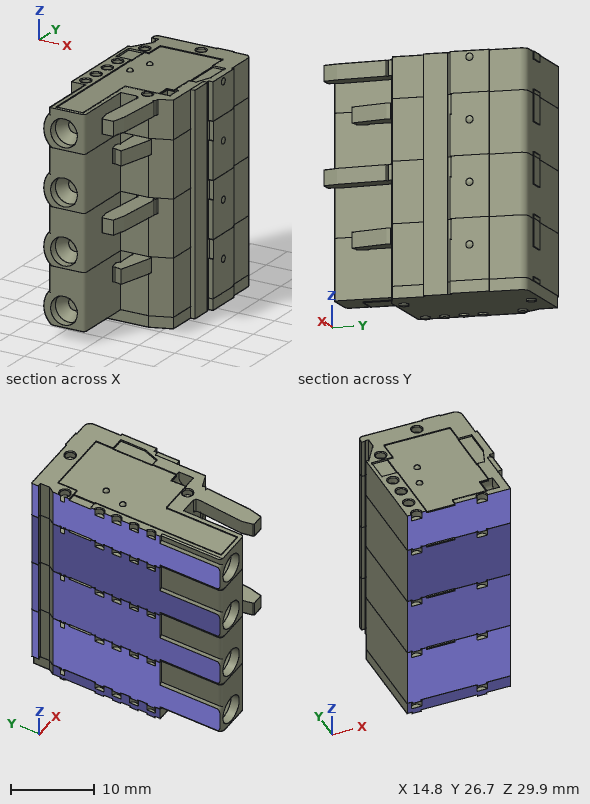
import cadquery as cq
import math

peg_height = 0.2
end_plate_thickness = 1.5
pitch = 7.63
top_housing_height = 5.1
pole_count = 4

back_y = 26.55
front_y = 8.45
notch_x = 2.0
shoulder_x, shoulder_low_y, shoulder_high_y = 0.4, 21.83, 24.32
corner_start_x, corner_end_y = 13.55, 25.6
side_x = 14.35
step_x, step_low_y, step_high_y = 14.63, 17.02, 21.92
ledge_x = 14.03
relief_depth = 0.15
foot_x, foot_y = 13.55, 9.5
slope_end_x = 10.75

lip_x, lip_low_y, lip_radius = 1.08, 25.5, 0.57
lip_hook_x, lip_hook_y = 1.55, 25.6

tab_left, tab_right, tab_depth = 9.48, 11.85, 0.15
tab_drop = 3.45
tab_rise = 0.5

leg_left, leg_right = 1.75, 6.85
leg_round = 0.45
leg_edge_radius = 0.4
leg_top_bevel_x, leg_top_bevel_z = 0.25, 0.12
entry_x, entry_z = 3.95, 2.18
boss_radius, boss_round = 3.02, 0.48
entry_diameter, entry_floor_diameter = 3.7, 1.8
entry_bore_depth, entry_cone_depth = 1.15, 1.5

insert_left, insert_right = 2.55, 11.93
insert_back, insert_shoulder_y, insert_shoulder_x = 23.9, 21.25, 3.25
insert_low_y, insert_leg_x, insert_front = 10.53, 6.25, 0.55
insert_sink, insert_thickness = 0.12, 0.15
recess_depth = 0.25
left_recess_x, left_recess_low_y = 0.45, 18.22
right_recess_x, right_recess_high_y, right_recess_bend_y = 13.7, 21.5, 18.1
right_recess_low_x, right_recess_low_y = 12.92, 15.95
dot_places = [(5.1, 18.28), (4.1, 15.3)]
dot_diameter, dot_height = 0.8, 0.33

window_left, pocket_left, pocket_right = 10.8, 10.92, 12.45
pocket_length = 2.03
window_length = 2.12
pocket_wall_depth = 0.9

peg_places = [
    (8.17, 25.2), (2.1, 22.22), (1.38, 17.02), (1.38, 14.63), (1.25, 12.15), (1.25, 9.75), (9.85, 9.75),
]
peg_diameter, socket_diameter, socket_depth = 1.2, 1.25, 0.9
socket_rim_diameter = 1.5

side_dot_y, side_dot_drop = 19.47, 0.78
side_dot_diameter, side_dot_height = 0.9, 0.12
arm_thickness = 1.95
bar_width, bar_low_y, bar_high_y = 0.6, 13.55, 16.57
tongue_left, tongue_right, tongue_front, tongue_thickness = 2.33, 5.32, 3.2, 0.12


def prism(sketch, low, high):
    """Extrude a closed XY outline between two heights."""
    return sketch.extrude(high - low).translate((0, 0, low))


def block(x0, x1, y0, y1, z0, z1):
    return cq.Workplane("XY").box(x1 - x0, y1 - y0, z1 - z0, centered=False).translate((x0, y0, z0))


def dome(diameter, height):
    """A spherical cap standing on Z = 0."""
    base = diameter / 2
    radius = (base**2 + height**2) / (2 * height)
    ball = cq.Workplane("XY").sphere(radius).translate((0, 0, height - radius))
    return ball.intersect(cq.Workplane("XY").circle(2 * base).extrude(height))


def base_outline():
    """Outline shared by the housings and the end plate."""
    corner_dx, corner_dy = side_x - corner_start_x, back_y - corner_end_y
    corner_mid = (
        corner_start_x + corner_dx * math.sin(math.pi / 4),
        corner_end_y + corner_dy * math.sin(math.pi / 4),
    )
    return (
        cq.Workplane("XY")
        .moveTo(0, front_y)
        .lineTo(0, shoulder_low_y)
        .lineTo(shoulder_x, shoulder_low_y)
        .lineTo(notch_x, shoulder_high_y)
        .lineTo(notch_x, back_y)
        .lineTo(corner_start_x, back_y)
        .threePointArc(corner_mid, (side_x, corner_end_y))
        .lineTo(side_x, step_high_y)
        .lineTo(step_x, step_high_y)
        .lineTo(step_x, step_low_y)
        .lineTo(ledge_x, step_low_y)
        .lineTo(ledge_x, bar_high_y)
        .lineTo(foot_x, bar_high_y)
        .lineTo(foot_x, foot_y)
        .lineTo(slope_end_x, front_y)
        .close()
    )


def pegs(bottom):
    return (
        cq.Workplane("XY").workplane(offset=bottom - peg_height)
        .pushPoints(peg_places).circle(peg_diameter / 2).extrude(peg_height)
    )


def sockets(top):
    holes = (
        cq.Workplane("XY").workplane(offset=top - socket_depth)
        .pushPoints(peg_places).circle(socket_diameter / 2).extrude(socket_depth)
    )
    bevel_depth = (socket_rim_diameter - socket_diameter) / 2
    rims = (
        cq.Workplane("XY").workplane(offset=top)
        .pushPoints(peg_places).circle(socket_rim_diameter / 2).extrude(-bevel_depth, taper=45)
    )
    return holes.union(rims)


def lip(bottom, top):
    outline = (
        cq.Workplane("XY")
        .moveTo(notch_x, lip_hook_y)
        .lineTo(lip_hook_x, lip_hook_y)
        .lineTo(lip_hook_x, lip_low_y)
        .lineTo(lip_x, lip_low_y)
        .lineTo(lip_x, back_y - lip_radius)
        .radiusArc((lip_x + lip_radius, back_y), lip_radius)
        .lineTo(notch_x, back_y)
        .close()
    )
    return prism(outline, bottom, top)


def marker_tabs(bottom, top):
    """Rear tab pieces next to the housing's lower and upper joints."""
    lower = block(tab_left, tab_right, back_y, back_y + tab_depth, bottom, bottom + tab_rise)
    tab_low = bottom + pitch - tab_drop
    upper = block(tab_left, tab_right, back_y, back_y + tab_depth, tab_low, top)
    return lower.union(upper)


def plug_leg(bottom, top):
    """Upright leg; the wire-entry boss takes the place of its lower -X part."""
    outline = (
        cq.Workplane("XY")
        .moveTo(leg_left, front_y)
        .lineTo(leg_left, leg_round)
        .radiusArc((leg_left + leg_round, 0), -leg_round)
        .lineTo(leg_right - leg_edge_radius, 0)
        .radiusArc((leg_right, leg_edge_radius), -leg_edge_radius)
        .lineTo(leg_right, front_y)
        .close()
    )
    leg = prism(outline, bottom, top)
    boss_zone = block(leg_left, entry_x, 0, front_y, bottom, bottom + entry_z)
    return leg.cut(boss_zone)


def leg_top_bevel(top):
    """Wedge along the upper -X edge of the leg."""
    return (
        cq.Workplane("XZ")
        .moveTo(leg_left, top)
        .lineTo(leg_left + leg_top_bevel_x, top)
        .lineTo(leg_left, top - leg_top_bevel_z)
        .close()
        .extrude(-front_y)
    )


def entry_boss(bottom, top):
    """The -X half of the round wire entry, kept between the housing bottom and top."""
    axis_z = bottom + entry_z
    boss = (
        cq.Workplane("XZ").center(entry_x, axis_z).circle(boss_radius).extrude(-front_y)
        .faces("<Y").fillet(boss_round)
    )
    side_half = block(entry_x - boss_radius, entry_x, 0, front_y, bottom, top)
    return boss.intersect(side_half)


def entry_funnel(bottom):
    outer, inner = entry_diameter / 2, entry_floor_diameter / 2
    floor_y = entry_bore_depth + entry_cone_depth
    profile = [(0, 0), (outer, 0), (outer, entry_bore_depth), (inner, floor_y), (0, floor_y)]
    cone = cq.Workplane("XY").polyline(profile).close().revolve(360, (0, 0, 0), (0, 1, 0))
    return cone.translate((entry_x, 0, bottom + entry_z))


def long_arm():
    """Plain latch arm."""
    return cq.Workplane("XY").polyline([
        (9.05, front_y), (9.4, 8.25), (9.45, 7.93), (8.88, 1.6), (9.15, 0.12), (9.3, 0),
        (10.8, 0), (11.25, 1.85), (11.72, 8.08), (11.45, 8.25), (11.8, 8.4), (11.8, 8.95), (9.05, 8.95),
    ]).close()


def hooked_arm():
    """Shorter latch arm with a snap hook."""
    return cq.Workplane("XY").polyline([
        (8.5, front_y), (8.7, 8.2), (8.7, 5.23), (8.35, 4.75), (8.65, 3.5), (8.73, 3.45),
        (8.97, 3.53), (9.95, 3.25), (11.15, 8.0), (11.15, front_y),
    ]).close()


def insert_outline():
    return cq.Workplane("XY").polyline([
        (insert_shoulder_x, insert_back), (insert_right, insert_back), (insert_right, insert_low_y),
        (insert_leg_x, insert_low_y), (insert_leg_x, insert_front), (insert_left, insert_front),
        (insert_left, insert_shoulder_y), (insert_shoulder_x, insert_shoulder_y),
    ]).close()


def side_recesses(top):
    """Shallow recesses on both sides of the insert."""
    left = block(left_recess_x, insert_left, left_recess_low_y, insert_shoulder_y, top - recess_depth, top)
    right = cq.Workplane("XY").polyline([
        (insert_right, right_recess_high_y), (right_recess_x, right_recess_high_y),
        (right_recess_x, right_recess_bend_y), (right_recess_low_x, right_recess_low_y),
        (insert_right, right_recess_low_y),
    ]).close()
    return left.union(prism(right, top - recess_depth, top))


def coding_pocket(top):
    """Straight-walled pocket ending in a half-round floor."""
    wall_bottom = top - pocket_wall_depth
    return (
        cq.Workplane("YZ")
        .moveTo(insert_low_y, top)
        .lineTo(insert_low_y + pocket_length, top)
        .lineTo(insert_low_y + pocket_length, wall_bottom)
        .radiusArc((insert_low_y, wall_bottom), pocket_length / 2)
        .close()
        .extrude(pocket_right - pocket_left)
        .translate((pocket_left, 0, 0))
    )


def insert_window(bottom, top):
    return block(window_left, insert_right, insert_low_y, insert_low_y + window_length, bottom, top)


def ridge_relief(bottom, top):
    """Shortens the low end of the +X ridge in the part of a full housing above a short one."""
    low = bottom + top_housing_height
    return block(ledge_x, step_x, step_low_y, step_low_y + relief_depth, low, top)


def side_dot(bottom):
    z = bottom + top_housing_height - side_dot_drop
    cap = dome(side_dot_diameter, side_dot_height).rotate((0, 0, 0), (0, 1, 0), 90)
    return cap.translate((step_x, side_dot_y, z))


def dot_seats(bottom):
    """Blind holes that clear the dots of the insert below."""
    return (
        cq.Workplane("XY").workplane(offset=bottom)
        .pushPoints(dot_places).circle(dot_diameter / 2).extrude(dot_height - insert_sink)
    )


def make_housing(bottom, top, arm):
    body = prism(base_outline(), bottom, top)
    for part in (
        lip(bottom, top),
        marker_tabs(bottom, top),
        plug_leg(bottom, top),
        entry_boss(bottom, top),
        prism(arm, top - arm_thickness, top),
        side_dot(bottom),
        pegs(bottom),
    ):
        body = body.union(part)
    for void in (
        entry_funnel(bottom),
        prism(insert_outline(), top - insert_sink - insert_thickness, top),
        side_recesses(top),
        coding_pocket(top),
        sockets(top),
        dot_seats(bottom),
    ):
        body = body.cut(void)
    return body


def make_insert(top):
    face = top - insert_sink
    bottom = face - insert_thickness
    plate = prism(insert_outline(), bottom, face).cut(insert_window(bottom, face))
    for x, y in dot_places:
        plate = plate.union(dome(dot_diameter, dot_height).translate((x, y, face)))
    return plate


def make_end_plate(total_top):
    top = end_plate_thickness
    plate = prism(base_outline(), 0, top).union(pegs(0)).cut(sockets(top))
    bar = block(foot_x, foot_x + bar_width, bar_low_y, bar_high_y, 0, total_top)
    tongue = block(tongue_left, tongue_right, tongue_front, front_y, top - tongue_thickness, top)
    return plate.union(bar).union(tongue)


housings = []
inserts = []
for level in range(pole_count):
    bottom = end_plate_thickness + level * pitch
    topmost = level == pole_count - 1
    top = bottom + (top_housing_height if topmost else pitch)
    arm = long_arm() if level % 2 else hooked_arm()
    housing = make_housing(bottom, top, arm)
    if topmost:
        housing = housing.cut(leg_top_bevel(top))
    else:
        housing = housing.cut(ridge_relief(bottom, top))
    housings.append(housing.val())
    inserts.append(make_insert(top).val())

end_plate = make_end_plate(top)

result = cq.Compound.makeCompound([*housings, *inserts, end_plate.val()])